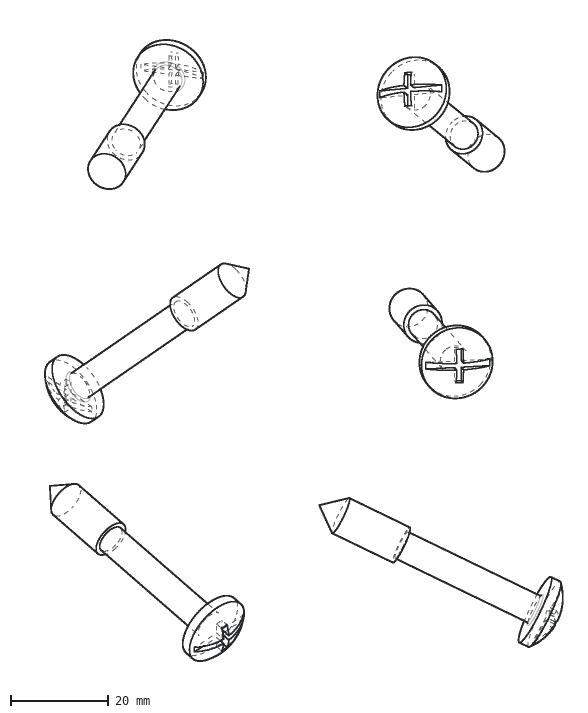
import cadquery as cq
import math

total_length = 55.0
head_radius = 15.0 / 2
head_height = 5.1
rim_height = 2.15
shank_radius = 6.1 / 2
shank_fillet = 0.5
tip_radius = 8.1 / 2
tip_length = 14.0
point_length = 5.0

slot_width = 1.45
slot_depth = 2.3
cross_slot_length = 7.15

point_y = -total_length / 2
tip_front_y = point_y + point_length
tip_back_y = tip_front_y + tip_length
head_top_y = total_length / 2
underside_y = head_top_y - head_height
rim_top_y = underside_y + rim_height

dome_height = head_top_y - rim_top_y
dome_radius = (head_radius**2 + dome_height**2) / (2 * dome_height)
dome_mid_r = head_radius / 2
dome_mid_y = head_top_y - dome_radius + math.sqrt(dome_radius**2 - dome_mid_r**2)


def turned_body():
    """Point, thick tip, shank and domed head, revolved about the Y axis."""
    fillet_mid_offset = shank_fillet * (1 - math.sqrt(0.5))
    profile = (
        cq.Workplane("XY")
        .moveTo(0, point_y)
        .lineTo(tip_radius, tip_front_y)
        .lineTo(tip_radius, tip_back_y)
        .lineTo(shank_radius, tip_back_y)
        .lineTo(shank_radius, underside_y - shank_fillet)
        .threePointArc(
            (shank_radius + fillet_mid_offset, underside_y - fillet_mid_offset),
            (shank_radius + shank_fillet, underside_y),
        )
        .lineTo(head_radius, underside_y)
        .lineTo(head_radius, rim_top_y)
        .threePointArc((dome_mid_r, dome_mid_y), (0, head_top_y))
        .close()
    )
    return profile.revolve(360, (0, 0, 0), (0, 1, 0))


def driver_slot(length_x, length_z):
    """Box that cuts down from the top of the dome to the slot floor."""
    slot_center_y = head_top_y - slot_depth / 2
    return cq.Workplane("XY").box(length_x, slot_depth, length_z).translate((0, slot_center_y, 0))


full_slot = driver_slot(2 * head_radius, slot_width)
cross_slot = driver_slot(slot_width, cross_slot_length)

result = turned_body().cut(full_slot).cut(cross_slot)